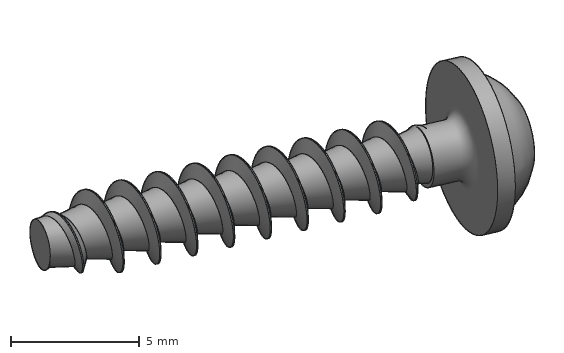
import cadquery as cq
import math

length = 20.4

washer_diameter = 7.0
washer_radius = washer_diameter / 2
washer_top = 1.67
washer_bottom = 2.43
dome_top_radius = 1.57
dome_base_radius = 3.0
dome_mid_radius = 2.47
dome_mid_depth = 0.73
shank_radius = 1.22
neck_fillet = 0.47
shank_end = 4.15

root_radius = 0.95
shoulder_radius = 1.18
tip_shoulder_radius = 0.98

pitch = 1.57
thread_phase_depth = 3.92
crest_diameter = 3.53
crest_radius = crest_diameter / 2
crest_width = 0.06
upper_flank = 0.33
lower_flank = 0.25
run_in_start = 3.88
run_in_end = 5.3
run_out_start = 18.05
run_out_end = 20.0
run_in_crest_radius = 1.2
run_out_crest_radius = 1.08
shoulder_taper_start = 18.56

first_turn_depth = thread_phase_depth - pitch
turns = math.ceil((length + upper_flank - first_turn_depth) / pitch)
points_per_turn = 24


def make_body():
    """Domed washer head, filleted neck and plain shank."""
    neck_mid = neck_fillet * (1 - math.sqrt(0.5))
    return (
        cq.Workplane("XY")
        .moveTo(0, 0)
        .lineTo(dome_top_radius, 0)
        .threePointArc((dome_mid_radius, -dome_mid_depth), (dome_base_radius, -washer_top))
        .lineTo(washer_radius, -washer_top)
        .lineTo(washer_radius, -washer_bottom)
        .lineTo(shank_radius + neck_fillet, -washer_bottom)
        .threePointArc(
            (shank_radius + neck_mid, -washer_bottom - neck_mid),
            (shank_radius, -washer_bottom - neck_fillet),
        )
        .lineTo(shank_radius, -shank_end)
        .lineTo(0, -shank_end)
        .close()
        .revolve(360, (0, 0, 0), (0, 1, 0))
    )


def ramp(depth, start, end, start_value, end_value):
    """Linear change between two depths, held constant outside them."""
    fraction = min(max((depth - start) / (end - start), 0.0), 1.0)
    return start_value + (end_value - start_value) * fraction


def axis_at(depth):
    return 0.0


def root_at(depth):
    return root_radius


def crest_at(depth):
    """Crest radius, rising out of the shank and fading out near the tip."""
    if depth < run_in_end:
        return ramp(depth, run_in_start, run_in_end, run_in_crest_radius, crest_radius)
    return ramp(depth, run_out_start, run_out_end, crest_radius, run_out_crest_radius)


def shoulder_at(depth):
    """Core radius just below the ridge, shrinking toward the tip."""
    return ramp(depth, shoulder_taper_start, length, shoulder_radius, tip_shoulder_radius)


def helix_point(radius_at, offset, turn):
    """Point on a right-hand helix; turn 0 starts on the +Z side."""
    depth = first_turn_depth + pitch * turn
    radius = radius_at(depth)
    angle = 2 * math.pi * turn
    return cq.Vector(-radius * math.sin(angle), -depth - offset, radius * math.cos(angle))


def helix_edge(corner, turn):
    """One turn of the curve followed by a corner of the thread profile."""
    steps = range(points_per_turn + 1)
    return cq.Edge.makeSpline([helix_point(*corner, turn + i / points_per_turn) for i in steps])


def make_threaded_core():
    """Solid core and thread, closed by a helicoid and a flat step at each end."""
    root_above = (root_at, -upper_flank)
    root_below = (root_at, pitch - upper_flank)
    ridge = [
        root_above,
        (crest_at, -crest_width / 2),
        (crest_at, crest_width / 2),
        (shoulder_at, lower_flank),
        root_below,
    ]
    axis_above = (axis_at, -upper_flank)
    axis_below = (axis_at, pitch - upper_flank)

    strips = []
    for turn in range(turns):
        strips += [(upper, lower, turn) for upper, lower in zip(ridge, ridge[1:])]
    strips.append((axis_above, root_above, 0))
    strips.append((root_below, axis_below, turns - 1))
    faces = [
        cq.Face.makeRuledSurface(helix_edge(first, turn), helix_edge(second, turn))
        for first, second, turn in strips
    ]
    for end_turn in (0, turns):
        outline = [helix_point(*corner, end_turn) for corner in [axis_above, *ridge, axis_below]]
        faces.append(cq.Face.makeFromWires(cq.Wire.makePolygon(outline, close=True)))
    solid = cq.Solid.makeSolid(cq.Shell.makeShell(faces))
    return cq.Workplane(obj=solid.fix())


def beyond_tip():
    """Block covering everything past the flat tip face."""
    return cq.Workplane("XZ", origin=(0, -length, 0)).circle(washer_radius).extrude(length)


threaded_core = make_threaded_core().cut(beyond_tip())
result = make_body().union(threaded_core)